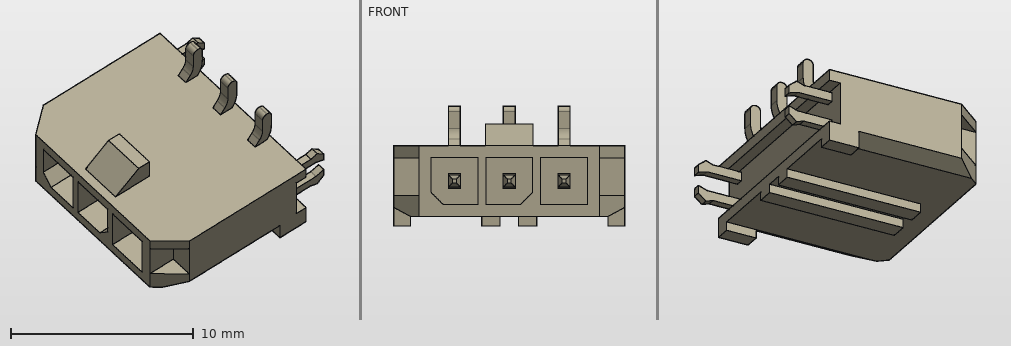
import cadquery as cq
import math


width = 12.65
total_length = 11.9
total_height = 6.55

body_bottom = 0.52
body_top = 4.4
body_length = 9.89
body_middle = (body_bottom + body_top) / 2
notch_depth = 0.67
notch_bottom = 1.19
notch_top = 3.73
notch_front = body_length - notch_depth

corner_width = 1.38
corner_length = 1.66
pocket_bottom = 1.66
pocket_top = 3.73

bevel_width = 0.94
bevel_height = 0.5
foot_length = 1.85
foot_front = body_length - foot_length

rail_width = 1.01
rail_offset = 1.0
rail_front = 1.57

contact_pitch = 3.0
contact_positions = [-contact_pitch, 0.0, contact_pitch]
cavity_size = 2.57
cavity_depth = 6.96
cavity_key = 0.67
cavity_key_sides = [-1, 1, 0]

contact_width = 0.66
pin_front = 2.53
pin_tip_length = 0.5
pin_tip_size = 0.22
pin_front_height = 0.66
pin_root_height = 0.83

tail_thickness = 0.63
tail_round = 0.3
tail_bend_start = 5.34
tail_bend_radius = 0.89
tail_bend_angle = math.radians(41)
tail_end = 3.98

latch_width = 2.6
latch_height = 1.19
latch_front = 0.55
latch_crest = 2.18
latch_back = 2.93

clip_offset = 5.16
clip_width = 0.45
clip_inner = 0.58
clip_outer = 1.11
clip_barb = 1.26
clip_nose_inner = 0.4
clip_nose_outer = 0.89
clip_inner_bend = 11.35
clip_outer_bend = 10.99
clip_barb_place = 11.44

overlap = 0.13


def block(x_range, y_range, z_range):
    """Box spanning the given (low, high) ranges."""
    sizes = [high - low for low, high in (x_range, y_range, z_range)]
    corner = (x_range[0], y_range[0], z_range[0])
    return cq.Workplane("XY").box(*sizes, centered=False).translate(corner)


def extrude_across(profile, x_centre, thickness):
    """Extrude a closed Y-Z profile along X, centred on x_centre."""
    return profile.extrude(thickness / 2, both=True).translate((x_centre, 0, 0))


def make_housing():
    half = width / 2
    front_half = half - corner_width
    outline = [
        (-front_half, 0),
        (front_half, 0),
        (half, corner_length),
        (half, body_length),
        (-half, body_length),
        (-half, corner_length),
    ]
    housing = (
        cq.Workplane("XY").workplane(offset=body_bottom)
        .polyline(outline).close().extrude(body_top - body_bottom)
    )
    back_notch = block((-half, half), (notch_front, body_length), (notch_bottom, notch_top))
    housing = housing.cut(back_notch)
    for side in (-1, 1):
        pocket_x = sorted((side * front_half, side * half))
        housing = housing.cut(block(pocket_x, (0, corner_length), (pocket_bottom, pocket_top)))
        bevel = (
            cq.Workplane("XZ")
            .moveTo(side * half, body_bottom)
            .lineTo(side * half, body_bottom + bevel_height)
            .lineTo(side * (half - bevel_width), body_bottom)
            .close().extrude(-foot_front)
        )
        housing = housing.cut(bevel)
    return housing


def make_feet_and_rails():
    half = width / 2
    supports = cq.Workplane("XY")
    for side in (-1, 1):
        foot_x = sorted((side * (half - bevel_width), side * half))
        foot = block(foot_x, (foot_front, body_length), (0, body_bottom))
        rail_x = (side * rail_offset - rail_width / 2, side * rail_offset + rail_width / 2)
        rail = block(rail_x, (rail_front, body_length), (0, body_bottom))
        supports = supports.add(foot).add(rail)
    return supports.combine()


def make_cavity(x_centre, key_side):
    half = cavity_size / 2
    cavity = block(
        (x_centre - half, x_centre + half),
        (0, cavity_depth),
        (body_middle - half, body_middle + half),
    )
    if key_side:
        corner_x = x_centre + key_side * half
        corner_z = body_middle - half
        key = (
            cq.Workplane("XZ")
            .moveTo(corner_x, corner_z)
            .lineTo(corner_x, corner_z + cavity_key)
            .lineTo(corner_x - key_side * cavity_key, corner_z)
            .close().extrude(-cavity_depth)
        )
        cavity = cavity.cut(key)
    return cavity


def make_pin(x_centre):
    """Contact pin with a pyramid tip and a shank that grows taller towards its root."""

    def taper(y_start, y_end, start_size, end_size):
        return (
            cq.Workplane("XZ", origin=(x_centre, y_start, body_middle))
            .rect(*start_size)
            .workplane(offset=y_start - y_end)
            .rect(*end_size)
            .loft(ruled=True)
        )

    shank_front = pin_front + pin_tip_length
    front_size = (contact_width, pin_front_height)
    tip = taper(pin_front, shank_front, (pin_tip_size, pin_tip_size), front_size)
    shank = taper(shank_front, cavity_depth + overlap, front_size, (contact_width, pin_root_height))
    return tip.union(shank)


def make_tail(x_centre):
    """Solder tail that slants out of the housing and bends upright, with both end edges rounded."""
    outer_radius = tail_bend_radius + tail_thickness
    outer_y = body_length
    inner_y = outer_y - tail_thickness
    bend_y = inner_y - tail_bend_radius
    round_z = total_height - tail_round
    round_diagonal = tail_round * math.cos(math.pi / 4)

    def bend_point(radius, angle):
        return (bend_y + radius * math.cos(angle), tail_bend_start - radius * math.sin(angle))

    def slant_point(start):
        drop = start[1] - tail_end
        return (start[0] - drop * math.tan(tail_bend_angle), tail_end)

    inner_bend_end = bend_point(tail_bend_radius, tail_bend_angle)
    outer_bend_end = bend_point(outer_radius, tail_bend_angle)
    profile = (
        cq.Workplane("YZ")
        .moveTo(outer_y, round_z)
        .lineTo(outer_y, tail_bend_start)
        .threePointArc(bend_point(outer_radius, tail_bend_angle / 2), outer_bend_end)
        .lineTo(*slant_point(outer_bend_end))
        .lineTo(*slant_point(inner_bend_end))
        .lineTo(*inner_bend_end)
        .threePointArc(bend_point(tail_bend_radius, tail_bend_angle / 2), (inner_y, tail_bend_start))
        .lineTo(inner_y, round_z)
        .threePointArc(
            (inner_y + tail_round - round_diagonal, round_z + round_diagonal),
            (inner_y + tail_round, total_height),
        )
        .lineTo(outer_y - tail_round, total_height)
        .threePointArc(
            (outer_y - tail_round + round_diagonal, round_z + round_diagonal),
            (outer_y, round_z),
        )
        .close()
    )
    return extrude_across(profile, x_centre, contact_width)


def make_latch():
    crest_z = body_top + latch_height
    profile = (
        cq.Workplane("YZ")
        .moveTo(latch_front, body_top)
        .lineTo(latch_crest, crest_z)
        .lineTo(latch_back, crest_z)
        .lineTo(latch_back, body_top)
        .close()
    )
    return extrude_across(profile, 0, latch_width)


def make_clip(x_centre, direction):
    """Barbed arm above (direction 1) or below (direction -1) the housing's middle height."""
    root_y = notch_front - overlap
    points = [
        (root_y, clip_inner),
        (clip_inner_bend, clip_inner),
        (total_length, clip_nose_inner),
        (total_length, clip_nose_outer),
        (clip_barb_place, clip_barb),
        (clip_outer_bend, clip_outer),
        (root_y, clip_outer),
    ]
    profile = (
        cq.Workplane("YZ")
        .polyline([(y, body_middle + direction * rise) for y, rise in points])
        .close()
    )
    return extrude_across(profile, x_centre, clip_width)


result = make_housing().union(make_feet_and_rails()).union(make_latch())

for contact_x, key_side in zip(contact_positions, cavity_key_sides):
    result = result.cut(make_cavity(contact_x, key_side))
    result = result.union(make_pin(contact_x)).union(make_tail(contact_x))

for clip_x in (-clip_offset, clip_offset):
    for direction in (-1, 1):
        result = result.union(make_clip(clip_x, direction))